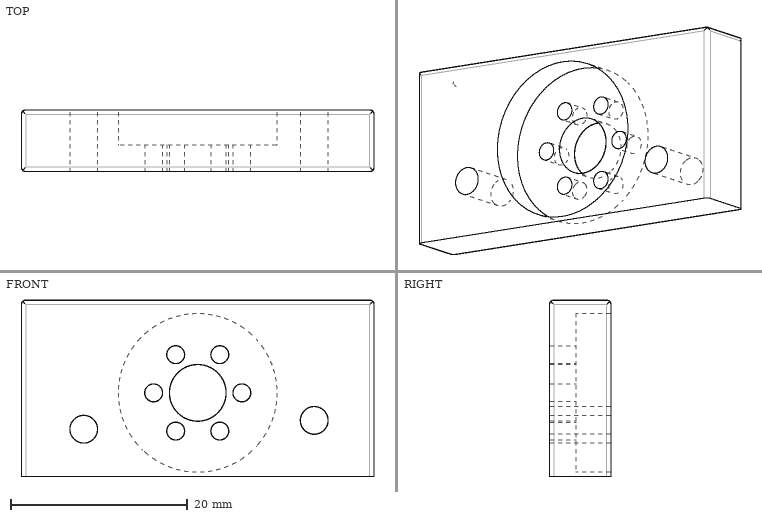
import cadquery as cq

length = 40
thickness = 7.0
height = 20
edge_radius = 0.5

bore_height = 9.5
bore_diameter = 6.4
ring_radius = 5.0
ring_hole_diameter = 2
ring_hole_count = 6

recess_diameter = 18
web_thickness = 3.0

mount_diameter = 3.1
mount_offsets = [(-12.9, -4.1), (13.2, -3.1)]


def plain_block():
    """Sharp-edged block standing on Z = 0."""
    return cq.Workplane("XY").box(length, thickness, height, centered=(True, True, False))


def rounded_block():
    """Block rounded on every edge except those of the base, with mitred corners.

    Edges of each direction are rounded on their own block. The common volume
    lets the rounds meet in sharp mitres instead of ball corners.
    """
    upright_rounds = plain_block().edges("|Z").fillet(edge_radius)
    long_rounds = plain_block().edges("|X and >Z").fillet(edge_radius)
    short_rounds = plain_block().edges("|Y and >Z").fillet(edge_radius)
    return upright_rounds.intersect(long_rounds).intersect(short_rounds)


def bore_plane(depth=0):
    """Sketch plane at a depth behind the -Y face, with its origin on the bore axis."""
    return cq.Workplane("XZ", origin=(0, depth - thickness / 2, bore_height))


def through_holes(sketch, diameter):
    """Cylinders running through the whole thickness from the sketched points."""
    return sketch.circle(diameter / 2).extrude(-thickness)


bore = through_holes(bore_plane(), bore_diameter)
ring_points = bore_plane().polarArray(ring_radius, 0, 360, ring_hole_count)
ring_holes = through_holes(ring_points, ring_hole_diameter)
mount_holes = through_holes(bore_plane().pushPoints(mount_offsets), mount_diameter)
recess = through_holes(bore_plane(web_thickness), recess_diameter)

result = rounded_block().cut(bore).cut(ring_holes).cut(mount_holes).cut(recess)